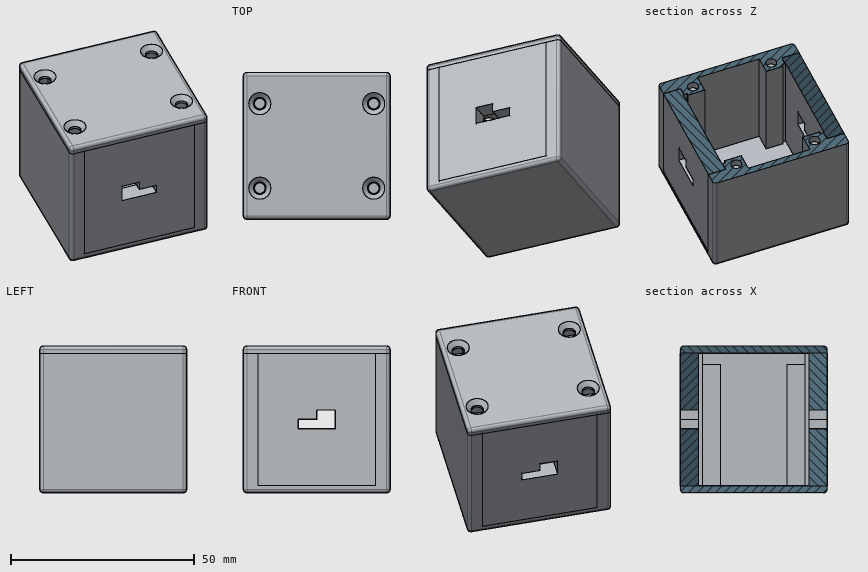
import cadquery as cq

SIDE = 40
EDGE_RADIUS = 1.0

WALL = 2
LID_THICKNESS = 2
LID_UNDERSIDE = SIDE - LID_THICKNESS
INNER_HEIGHT = LID_UNDERSIDE - WALL

BLOCK_WIDTH = 32
BLOCK_THICKNESS = 5.0
LIP_THICKNESS = 1.0
LIP_OPENING = 27.4
CAVITY_LENGTH_X = SIDE - 2 * WALL
CAVITY_LENGTH_Y = SIDE - 2 * (BLOCK_THICKNESS + LIP_THICKNESS)

PASSAGE_WIDTH = 10
PASSAGE_HEIGHT = 5.0

POST_SIDE = 5.0
POST_GAP = 3.0
POST_TOP = LID_UNDERSIDE - POST_GAP
SCREW_SPACING_X = CAVITY_LENGTH_X - POST_SIDE
SCREW_SPACING_Y = CAVITY_LENGTH_Y - POST_SIDE
COUNTERSINK_DIAMETER = 6
COUNTERSINK_ANGLE = 90
SCREW_HOLE_DIAMETER = 3.4
PILOT_DIAMETER = 2.9
PILOT_DEPTH = 4


def rounded_cube():
    cube = cq.Workplane("XY").box(SIDE, SIDE, SIDE, centered=(True, True, False))
    return cube.edges().fillet(EDGE_RADIUS)


def lid_space():
    """Slab that holds everything above the joint between base and lid."""
    return (
        cq.Workplane("XY", origin=(0, 0, LID_UNDERSIDE))
        .box(SIDE, SIDE, LID_THICKNESS, centered=(True, True, False))
    )


def inner_space(length_x, length_y, middle_y=0):
    """Box that reaches from the floor of the base to the underside of the lid."""
    return (
        cq.Workplane("XY", origin=(0, middle_y, WALL))
        .box(length_x, length_y, INNER_HEIGHT, centered=(True, True, False))
    )


def end_space(end):
    """Plain block filling the recess at the front (end = -1) or rear (end = 1)."""
    middle_y = end * (SIDE - BLOCK_THICKNESS) / 2
    return inner_space(BLOCK_WIDTH, BLOCK_THICKNESS, middle_y)


def passage():
    """L profile, full height on the +X half and half height on the -X half."""
    half_width = PASSAGE_WIDTH / 2
    half_height = PASSAGE_HEIGHT / 2
    return (
        cq.Workplane("XZ", origin=(0, 0, SIDE / 2))
        .moveTo(-half_width, -half_height)
        .lineTo(half_width, -half_height)
        .lineTo(half_width, half_height)
        .lineTo(0, half_height)
        .lineTo(0, 0)
        .lineTo(-half_width, 0)
        .close()
        .extrude(SIDE / 2, both=True)
    )


def screw_points(height):
    """Workplane at the given height with a point on each of the four screw axes."""
    return (
        cq.Workplane("XY", origin=(0, 0, height))
        .rarray(SCREW_SPACING_X, SCREW_SPACING_Y, 2, 2)
    )


def make_lid():
    return (
        rounded_cube()
        .intersect(lid_space())
        .faces(">Z")
        .workplane(origin=(0, 0, SIDE))
        .rarray(SCREW_SPACING_X, SCREW_SPACING_Y, 2, 2)
        .cskHole(SCREW_HOLE_DIAMETER, COUNTERSINK_DIAMETER, COUNTERSINK_ANGLE)
    )


def make_base():
    cavity = inner_space(CAVITY_LENGTH_X, CAVITY_LENGTH_Y)
    lip_openings = inner_space(LIP_OPENING, SIDE - 2 * BLOCK_THICKNESS)
    base = rounded_cube().cut(lid_space()).cut(cavity).cut(lip_openings)
    for end in (-1, 1):
        base = base.cut(end_space(end))
    posts = screw_points(WALL).rect(POST_SIDE, POST_SIDE).extrude(POST_TOP - WALL)
    pilot_holes = screw_points(POST_TOP).circle(PILOT_DIAMETER / 2).extrude(-PILOT_DEPTH)
    return base.union(posts).cut(pilot_holes)


def make_end_block(end):
    return end_space(end).cut(passage())


base = make_base()
lid = make_lid()
end_blocks = [make_end_block(end) for end in (-1, 1)]

result = cq.Compound.makeCompound(
    [base.val(), lid.val(), *[block.val() for block in end_blocks]]
)